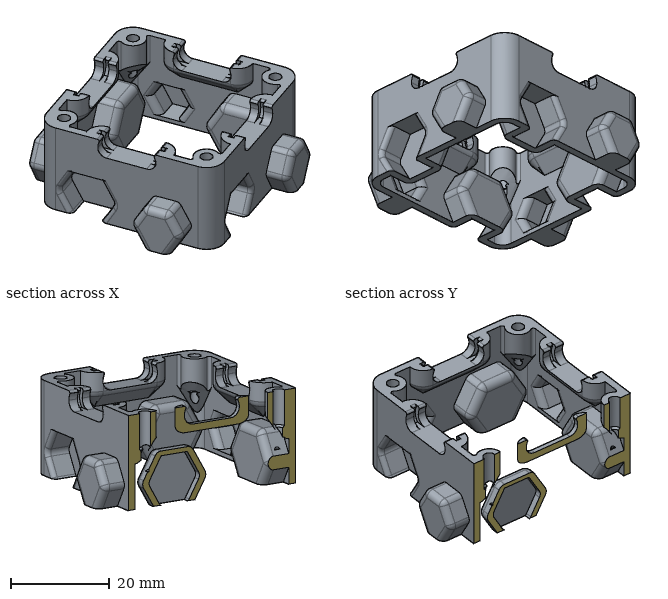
import cadquery as cq
import math

body_side = 40.0
body_height = 20.0
corner_radius = 4.0
wall = 1.65
half_side = body_side / 2
half_cavity = half_side - wall

post_offset = 16.0
post_radius = 2.75
post_root_fillet = 0.5
root_apex_height = 6.0
root_slope = 1.5
screw_diameter = 2.6
screw_depth = 7.5
pilot_diameter = 1.75
pilot_bottom = 7.5

notch_depth = 4.0
notch_floor_half = 4.5
notch_floor_radius = 2.0
notch_lip_radius = 0.5
notch_lip_half = 6.15
groove_width = 1.15
groove_widening = 1.0
groove_from_face = 2.6
pad_thickness = 5.0
pad_round = pad_thickness - wall
pad_half_flat = 6.45
pad_bottom = 15.35
pad_edge_fillet = 1.5

hex_offset = 9.0
hex_height = 5.0
boss_apothem = 5.0
boss_top = 5.05
boss_overrun = 6.5
boss_length = 5.0
boss_round = 1.5
boss_hollow_apothem = 3.5
boss_hollow_half_height = 4.0
boss_hollow_flare = 1.5
boss_face_thickness = 1.5
clearance = 0.35
pocket_apothem = boss_apothem + clearance
pocket_depth = boss_length + clearance
pocket_corner_round = 1.5
pocket_flare = 1.0
socket_apothem = 6.8
socket_top = 6.45
socket_depth = pocket_depth + wall
cutter_overrun = 1.8
cutter_reach = 2.5
selection_margin = 0.05

SIDE_ANGLES = (0, 90, 180, 270)
CORNER_ANGLE = 45
HEX_SLANT = math.radians(30)


def on_all_sides(shape):
    """Fuse four copies of a shape made for the -Y side, one for each side."""
    copies = cq.Workplane("XY")
    for angle in SIDE_ANGLES:
        copies = copies.add(shape.rotate((0, 0, 0), (0, 0, 1), angle))
    return copies.combine()


def box_between(x_range, y_range, z_range):
    """Axis-aligned box given by its limits."""
    size = [high - low for low, high in (x_range, y_range, z_range)]
    corner = (x_range[0], y_range[0], z_range[0])
    return cq.Workplane("XY").box(*size, centered=False).translate(corner)


def hex_prism(x, y_start, y_end, apothem, top, bottom):
    """Prism along Y: the four slanted sides of a hexagon, cut level at top and bottom."""
    vertex_half = apothem / math.cos(HEX_SLANT)
    slope = math.tan(HEX_SLANT)
    top_half = vertex_half - top * slope
    bottom_half = vertex_half - bottom * slope
    outline = [
        (vertex_half, 0),
        (top_half, top),
        (-top_half, top),
        (-vertex_half, 0),
        (-bottom_half, -bottom),
        (bottom_half, -bottom),
    ]
    prism = cq.Workplane("XZ").polyline(outline).close().extrude(y_start - y_end)
    return prism.translate((x, y_start, hex_height))


def rounded_hex(x, y_root, y_face, apothem, top, bottom, radius):
    """Hexagonal prism with its long edges and the edges of its end face rounded."""
    prism = hex_prism(x, y_root, y_face, apothem, top, bottom)
    face = ">Y" if y_face > y_root else "<Y"
    edges = prism.edges("|Y").add(prism.faces(face).edges())
    return cq.Workplane(prism.val().fillet(radius, edges.vals()))


def flared_hex(x, y_mouth, y_floor, apothem, bottom, half_height, corner_round, flare):
    """Hexagonal cutter whose sides curve outward at the mouth, cut level above and below."""
    reach = cutter_reach * apothem
    cutter = hex_prism(x, y_mouth, y_floor, apothem, cutter_overrun * apothem, bottom)
    if corner_round:
        below_top = cq.selectors.BoxSelector(
            (x - reach, -body_side, -body_height), (x + reach, 0, hex_height + apothem)
        )
        cutter = cutter.edges("|Y").edges(below_top).fillet(corner_round)
    y_range = sorted((y_mouth, y_floor))
    x_range = (x - reach, x + reach)
    block = box_between(x_range, y_range, (hex_height - reach, hex_height + reach))
    mouth = ">Y" if y_mouth > y_floor else "<Y"
    holed = block.cut(cutter)
    mouth_wires = holed.faces(mouth).wires().vals()
    inner = min(mouth_wires, key=lambda wire: wire.BoundingBox().xlen)
    holed = cq.Workplane(holed.val().fillet(flare, inner.Edges()))
    level = box_between(x_range, y_range, (hex_height - half_height, hex_height + half_height))
    return level.cut(holed)


def notch_cutter(widening, y_start, y_end):
    """Snap notch: flat floor, round lower corners, sides leaning in to a rounded lip."""
    floor_z = body_height - notch_depth
    low_radius = notch_floor_radius + widening
    low_z = floor_z + notch_floor_radius
    lip_half = notch_lip_half + widening
    lip_z = body_height - notch_lip_radius
    floor_angle = -math.asin(notch_floor_radius / low_radius)

    def on_low_round(angle):
        return (notch_floor_half + low_radius * math.cos(angle), low_z + low_radius * math.sin(angle))

    half = (
        cq.Workplane("XZ", origin=(0, y_start, 0))
        .moveTo(0, floor_z)
        .lineTo(*on_low_round(floor_angle))
        .threePointArc(on_low_round(floor_angle / 2), on_low_round(0))
        .tangentArcPoint((lip_half, lip_z), relative=False)
        .radiusArc((lip_half + notch_lip_radius, body_height), notch_lip_radius)
        .lineTo(0, body_height)
        .close()
        .extrude(y_start - y_end)
    )
    return half.union(half.mirror("YZ"))


def pad():
    """Wall thickening below and beside a notch, tapering back to the wall underneath."""
    y_root = -half_cavity
    half = pad_half_flat + pad_round
    base = (
        cq.Workplane("XY", origin=(0, y_root, 0))
        .moveTo(-half, 0)
        .radiusArc((-pad_half_flat, pad_round), pad_round)
        .lineTo(pad_half_flat, pad_round)
        .radiusArc((half, 0), pad_round)
        .close()
        .extrude(body_height - pad_bottom)
        .translate((0, 0, pad_bottom))
    )
    wedge_outline = [(0, pad_bottom), (pad_round, pad_bottom), (0, pad_bottom - pad_round)]
    wedge = (
        cq.Workplane("YZ", origin=(-pad_half_flat, y_root, 0))
        .polyline(wedge_outline).close().extrude(2 * pad_half_flat)
    )
    solid = base.union(wedge)
    for x in (-pad_half_flat, pad_half_flat):
        cone = cq.Solid.makeCone(0, pad_round, pad_round, cq.Vector(x, y_root, pad_bottom - pad_round))
        half_space = box_between((-half, half), (y_root, 0), (0, body_height))
        solid = solid.union(cq.Workplane(cone).intersect(half_space))
    rim = cq.selectors.BoxSelector(
        (-body_side, y_root + selection_margin, pad_bottom - selection_margin),
        (body_side, 0, pad_bottom + selection_margin),
    )
    return solid.edges(rim).fillet(pad_edge_fillet)


def post_root():
    """Cone opening upward from the inner corner; a post keeps only what lies inside it."""
    height = body_height - root_apex_height
    apex = (-half_cavity, -half_cavity, root_apex_height)
    cone = cq.Solid.makeCone(0, height / root_slope, height, cq.Vector(0, 0, 0))
    return cq.Workplane(cone).rotate((0, 0, 0), (0, 0, 1), CORNER_ANGLE).translate(apex)


def cavity():
    """Inside space, leaving the corner posts and their tapered roots standing."""
    outline = (
        cq.Workplane("XY").rect(2 * half_cavity, 2 * half_cavity).extrude(body_height)
        .edges("|Z").fillet(corner_radius - wall)
    )
    posts = (
        cq.Workplane("XY").rect(2 * post_offset, 2 * post_offset, forConstruction=True)
        .vertices().circle(post_radius).extrude(body_height)
    )
    space = outline.cut(posts)
    space = space.solids(cq.selectors.NearestToPointSelector((0, 0, body_height / 2)))
    space = space.edges("|Z").fillet(post_root_fillet)
    return space.union(outline.cut(on_all_sides(post_root())))


def screw_hole():
    """Screw hole ending in a cone that narrows to the pilot hole, which leaves through the root."""
    cone_height = (screw_diameter - pilot_diameter) / 2
    cone_bottom = body_height - screw_depth - cone_height
    outline = [
        (0, pilot_bottom),
        (pilot_diameter / 2, pilot_bottom),
        (pilot_diameter / 2, cone_bottom),
        (screw_diameter / 2, cone_bottom + cone_height),
        (screw_diameter / 2, body_height),
        (0, body_height),
    ]
    hole = cq.Workplane("XZ").polyline(outline).close().revolve(360, (0, 0), (0, 1))
    return hole.translate((-post_offset, -post_offset, 0))


block = (
    cq.Workplane("XY").rect(body_side, body_side).extrude(body_height)
    .edges("|Z").fillet(corner_radius)
)
shell = block.cut(cavity()).union(on_all_sides(pad()))

plug = rounded_hex(hex_offset, -half_cavity, -half_side - boss_length, boss_apothem,
                   boss_top, boss_overrun, boss_round)
socket = rounded_hex(-hex_offset, -half_cavity - wall / 2, -half_side + socket_depth, socket_apothem,
                     socket_top, socket_apothem, wall)
plug_hollow = flared_hex(hex_offset, -half_cavity, -half_side - boss_length + boss_face_thickness,
                         boss_hollow_apothem, cutter_overrun * boss_hollow_apothem,
                         boss_hollow_half_height, 0, boss_hollow_flare)
pocket = flared_hex(-hex_offset, -half_side, -half_side + pocket_depth, pocket_apothem,
                    pocket_apothem, pocket_apothem, pocket_corner_round, pocket_flare)

pad_face = -half_side + pad_thickness
groove_middle = -half_side + groove_from_face
notch = notch_cutter(0, -half_side, pad_face).union(
    notch_cutter(groove_widening, groove_middle - groove_width / 2, groove_middle + groove_width / 2)
)

result = shell.union(on_all_sides(plug)).union(on_all_sides(socket))
for cutter in (plug_hollow, pocket, notch, screw_hole()):
    result = result.cut(on_all_sides(cutter))
below = box_between((-body_side, body_side), (-body_side, body_side), (-body_height, 0))
result = result.cut(below)